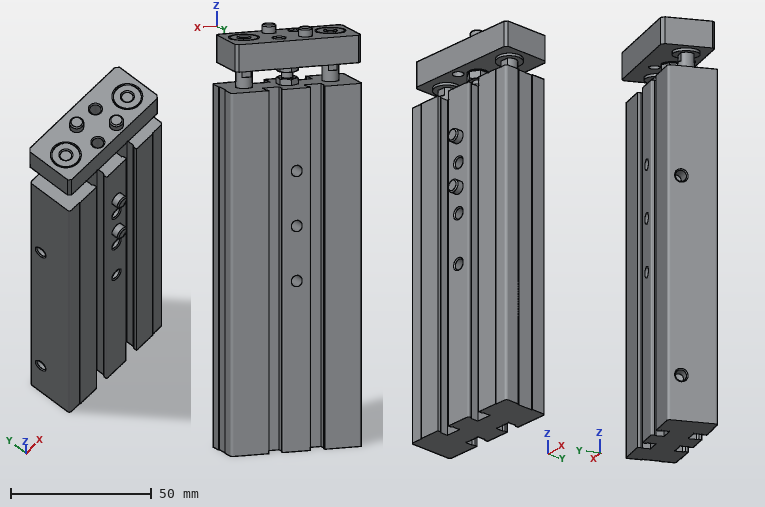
import cadquery as cq
import math

UP = (0, 0, 1)
DOWN = (0, 0, -1)
FRONT = (0, -1, 0)
BACK = (0, 1, 0)

BODY_WIDTH = 50.0
BODY_DEPTH = 19.0
BODY_HEIGHT = 132.0
BODY_CORNER_RADIUS = 1.0
EDGE_STEP = 0.2
STEP_X = 19.6
SIDE_RECESS_DEPTH = 0.4
SIDE_RECESS_WIDTH = 6.6

SLOT_X = 8.0
SLOT_OPENING = 5.4
SLOT_CAVITY = 6.4
SLOT_DEPTH = 5.0
SLOT_LIP = 1.2
SLOT_SHOULDER = 2.0
SLOT_EDGE_RADIUS = 0.4

THREAD_SIZE = 5.0
THREAD_CORE = 4.13
THREAD_CHAMFER = (THREAD_SIZE - THREAD_CORE) / 2
DRILL_POINT_ANGLE = 118.0

FRONT_PIN_HEIGHTS = (92.0, 112.0)
FRONT_HOLE_HEIGHTS = (62.0, 82.0, 102.0)

PORT_HEIGHTS = (17.0, 91.2)
PORT_Y = 4.5
PORT_DEPTH = 6.5

PLATE_GAP = 8.0
PLATE_WIDTH = 48.0
PLATE_DEPTH = 20.0
PLATE_THICKNESS = 10.0
PLATE_FRONT_Y = -8.5
PLATE_FRONT_CHAMFER = 1.0
PLATE_BACK_CHAMFER = 1.2
PLATE_HOLE_OFFSET = 5.0
PLATE_BOTTOM = BODY_HEIGHT + PLATE_GAP
PLATE_TOP = PLATE_BOTTOM + PLATE_THICKNESS

PIN_DIAMETER = THREAD_SIZE
PIN_PROJECTION = 3.0
PIN_EMBEDDED = 5.0
PIN_CHAMFER = 0.5

ROD_X = 16.5
ROD_DIAMETER = 6.0
PISTON_DIAMETER = 10.0
PISTON_BOTTOM = 16.0
PISTON_HEIGHT = 14.0
ROD_HEAD_DIAMETER = 10.0
ROD_HEAD_PROJECTION = 1.0
ROD_SEAT_DIAMETER = 11.0
ROD_FLAT_HEIGHT = 3.0
ROD_FLAT_SPACING = 5.0
ROD_RECESS_DEPTH = 0.5

NUT_ACROSS_FLATS = 7.0
NUT_FACE_DIAMETER = 6.6
UPPER_NUT_HEIGHT = 3.4
LOWER_NUT_HEIGHT = 2.4
BOLT_DIAMETER = 4.13
NUT_FLANGE_DIAMETER = 8.0
NUT_FLANGE_HEIGHT = 0.4


def cylinder(start, direction, diameter, length):
    """Solid cylinder from a start point along a direction."""
    return cq.Workplane(cq.Solid.makeCylinder(diameter / 2, length, cq.Vector(start), cq.Vector(direction)))


def cone(start, direction, start_diameter, end_diameter, length):
    """Solid cone frustum from a start point along a direction."""
    start_radius = start_diameter / 2
    end_radius = end_diameter / 2
    return cq.Workplane(
        cq.Solid.makeCone(start_radius, end_radius, length, cq.Vector(start), cq.Vector(direction))
    )


def tapped_hole(start, direction, depth):
    """Cutter for a threaded hole: core bore with a countersunk mouth."""
    bore = cylinder(start, direction, THREAD_CORE, depth)
    return bore.union(cone(start, direction, THREAD_SIZE, THREAD_CORE, THREAD_CHAMFER))


def make_pin(face_point, outward):
    """Round pin set into a face, with a chamfered outer end."""
    outward = cq.Vector(outward)
    start = cq.Vector(face_point) - outward * PIN_EMBEDDED
    straight = PIN_EMBEDDED + PIN_PROJECTION - PIN_CHAMFER
    shank = cylinder(start, outward, PIN_DIAMETER, straight)
    tip_diameter = PIN_DIAMETER - 2 * PIN_CHAMFER
    return shank.union(cone(start + outward * straight, outward, PIN_DIAMETER, tip_diameter, PIN_CHAMFER))


def pin_seat(face_point, outward):
    """Cutter for the bore that holds the embedded end of a pin."""
    return cylinder(face_point, cq.Vector(outward) * -1, PIN_DIAMETER, PIN_EMBEDDED)


def slot_cutter():
    """Cutter for the slot on the front at +X."""
    front = -BODY_DEPTH / 2
    inner_edge = SLOT_X - SLOT_OPENING / 2
    outer_edge = SLOT_X + SLOT_OPENING / 2
    inner_wall = SLOT_X - SLOT_CAVITY / 2
    outer_wall = SLOT_X + SLOT_CAVITY / 2
    round_inset = SLOT_EDGE_RADIUS * (1 - math.sqrt(0.5))
    outline = (
        cq.Workplane("XY")
        .moveTo(inner_edge - SLOT_EDGE_RADIUS, front)
        .threePointArc(
            (inner_edge - round_inset, front + round_inset),
            (inner_edge, front + SLOT_EDGE_RADIUS),
        )
        .lineTo(inner_edge, front + SLOT_LIP)
        .lineTo(inner_wall, front + SLOT_SHOULDER)
        .lineTo(inner_wall, front + SLOT_DEPTH)
        .lineTo(outer_wall, front + SLOT_DEPTH)
        .lineTo(outer_wall, front + SLOT_SHOULDER)
        .lineTo(outer_edge, front + SLOT_LIP)
        .lineTo(outer_edge, front)
        .close()
    )
    return outline.extrude(BODY_HEIGHT)


def body_blank():
    """Extruded outline with stepped front corners and a channel along the +X side."""
    half_width = BODY_WIDTH / 2
    half_depth = BODY_DEPTH / 2
    stepped_front = -half_depth + EDGE_STEP
    outline = [
        (-half_width, half_depth),
        (-half_width, stepped_front),
        (-STEP_X, stepped_front),
        (-STEP_X, -half_depth),
        (STEP_X, -half_depth),
        (STEP_X, stepped_front),
        (half_width, stepped_front),
        (half_width, half_depth),
    ]
    blank = cq.Workplane("XY").polyline(outline).close().extrude(BODY_HEIGHT)
    blank = blank.edges("|Z and (<X or >X)").fillet(BODY_CORNER_RADIUS)
    channel = (
        cq.Workplane("XY")
        .center(half_width, 0)
        .rect(2 * SIDE_RECESS_DEPTH, SIDE_RECESS_WIDTH)
        .extrude(BODY_HEIGHT)
    )
    return blank.cut(channel)


def side_port(height):
    """Cutter for a threaded port in the -X side, ending in a drill point."""
    start = cq.Vector(-BODY_WIDTH / 2, PORT_Y, height)
    inward = cq.Vector(1, 0, 0)
    point_length = THREAD_CORE / 2 / math.tan(math.radians(DRILL_POINT_ANGLE / 2))
    drill_point = cone(start + inward * PORT_DEPTH, inward, THREAD_CORE, 0, point_length)
    return tapped_hole(start, inward, PORT_DEPTH).union(drill_point)


def rod_shank(x, top):
    """Rod of plain diameter rising from its piston to a given height."""
    piston_top = PISTON_BOTTOM + PISTON_HEIGHT
    piston = cylinder((x, 0, PISTON_BOTTOM), UP, PISTON_DIAMETER, PISTON_HEIGHT)
    return piston.union(cylinder((x, 0, piston_top), UP, ROD_DIAMETER, top - piston_top))


def make_body():
    body = body_blank()
    front_right_slot = slot_cutter()
    front_left_slot = front_right_slot.mirror("YZ")
    for slot in (front_right_slot, front_left_slot):
        body = body.cut(slot).cut(slot.mirror("XZ"))
    front_y = -BODY_DEPTH / 2
    for height in FRONT_HOLE_HEIGHTS:
        body = body.cut(tapped_hole((0, front_y, height), BACK, BODY_DEPTH))
    for point in front_pin_points:
        body = body.cut(pin_seat(point, FRONT))
    for height in PORT_HEIGHTS:
        body = body.cut(side_port(height))
    for x in (-ROD_X, ROD_X):
        body = body.cut(rod_shank(x, BODY_HEIGHT))
    return body


def hex_nut(bottom, height, chamfered_end):
    """Hex nut with corners toward +/-Y and one end bevelled ("top" or "bottom")."""
    corner_diameter = NUT_ACROSS_FLATS / math.cos(math.pi / 6)
    bevel = (corner_diameter - NUT_FACE_DIAMETER) / 2
    nut = (
        cq.Workplane("XY")
        .polygon(6, corner_diameter)
        .extrude(height)
        .rotate((0, 0, 0), UP, 90)
    )
    envelope = cq.Workplane("XY").circle(corner_diameter / 2).extrude(height)
    face = ">Z" if chamfered_end == "top" else "<Z"
    envelope = envelope.faces(face).chamfer(bevel / 2, bevel)
    return nut.intersect(envelope).translate((0, 0, bottom))


def stop_bolt():
    """Bolt hanging from the plate, with a flanged nut above and a nut resting on the body."""
    bolt = cylinder((0, 0, BODY_HEIGHT), UP, BOLT_DIAMETER, PLATE_GAP)
    bolt = bolt.union(hex_nut(BODY_HEIGHT, LOWER_NUT_HEIGHT, "top"))
    bolt = bolt.union(hex_nut(PLATE_BOTTOM - UPPER_NUT_HEIGHT, UPPER_NUT_HEIGHT, "bottom"))
    flange_bottom = PLATE_BOTTOM - NUT_FLANGE_HEIGHT
    flange = cylinder((0, 0, flange_bottom), UP, NUT_FLANGE_DIAMETER, NUT_FLANGE_HEIGHT)
    return bolt.union(flange)


def make_plate():
    """Tooling plate together with the stop bolt fixed in its underside."""
    plate = cq.Workplane("XY").box(PLATE_WIDTH, PLATE_DEPTH, PLATE_THICKNESS, centered=(True, False, False))
    plate = plate.translate((0, PLATE_FRONT_Y, PLATE_BOTTOM))
    plate = plate.edges("|Z and <Y").chamfer(PLATE_FRONT_CHAMFER)
    plate = plate.edges("|Z and >Y").chamfer(PLATE_BACK_CHAMFER)
    for offset in (-PLATE_HOLE_OFFSET, PLATE_HOLE_OFFSET):
        plate = plate.cut(tapped_hole((offset, offset, PLATE_TOP), DOWN, PLATE_THICKNESS))
    for point in plate_pin_points:
        plate = plate.cut(pin_seat(point, UP))
    seat_chamfer = (ROD_SEAT_DIAMETER - ROD_HEAD_DIAMETER) / 2
    for x in (-ROD_X, ROD_X):
        plate = plate.cut(cylinder((x, 0, PLATE_BOTTOM), UP, ROD_HEAD_DIAMETER, PLATE_THICKNESS))
        plate = plate.cut(cone((x, 0, PLATE_TOP), DOWN, ROD_SEAT_DIAMETER, ROD_HEAD_DIAMETER, seat_chamfer))
    return plate.union(stop_bolt())


def make_rod(x):
    """Guide rod with a piston, wrench flats and a recessed head that fills the plate bore."""
    head_bottom = PLATE_BOTTOM - ROD_HEAD_PROJECTION
    shank = rod_shank(x, head_bottom)
    for side in (-1, 1):
        flat = cq.Workplane("XY").box(
            ROD_DIAMETER, ROD_DIAMETER, ROD_FLAT_HEIGHT, centered=(True, True, False)
        )
        flat_y = side * (ROD_FLAT_SPACING + ROD_DIAMETER) / 2
        shank = shank.cut(flat.translate((x, flat_y, head_bottom - ROD_FLAT_HEIGHT)))
    head = cylinder((x, 0, head_bottom), UP, ROD_HEAD_DIAMETER, PLATE_TOP - head_bottom)
    return shank.union(head).cut(tapped_hole((x, 0, PLATE_TOP), DOWN, ROD_RECESS_DEPTH))


front_pin_points = [(0, -BODY_DEPTH / 2, height) for height in FRONT_PIN_HEIGHTS]
plate_pin_points = [
    (side * PLATE_HOLE_OFFSET, -side * PLATE_HOLE_OFFSET, PLATE_TOP) for side in (-1, 1)
]

body = make_body()
plate = make_plate()
rods = [make_rod(x) for x in (-ROD_X, ROD_X)]
front_pins = [make_pin(point, FRONT) for point in front_pin_points]
plate_pins = [make_pin(point, UP) for point in plate_pin_points]

parts = [body, plate, *rods, *front_pins, *plate_pins]
result = cq.Compound.makeCompound([part.val() for part in parts])